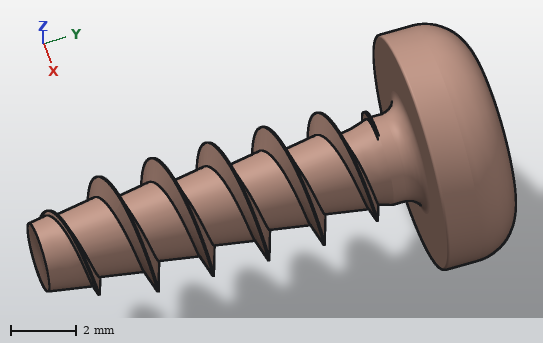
import cadquery as cq
import math


overall_length = 14.59
head_height = 2.6
shank_length = overall_length - head_height

head_radius = 3.75
head_dome_radius = 1.5
head_rim_radius = 0.08

neck_radius = 1.39
neck_fillet_radius = 0.57
shoulder_depth = 0.98
runout_depth = 1.95

pitch = 1.787
core_radius = 1.09
root_taper = 0.158
root_top_radius = 1.35
buried_radius = 0.8
turn_fraction = 0.98

crest_radius = 2.0
crest_width = 0.04
head_flank_slope = 0.29
tip_flank_slope = 0.33
thread_start_z = -11.97
thread_start_angle = 90.0
tip_crest_radius = 1.11
head_crest_radius = 1.54
lead_in_turns = 1.5
full_turns = 3.75
run_out_turns = 1.0
thread_turns = lead_in_turns + full_turns + run_out_turns
extra_root_turns = 0.5

ledge_width = 0.23
ledge_thickness = 0.06

hollow_radius = 1.0
hollow_depth = 0.06


def helix_edge(start, end, first_turn, turns):
    """Right-handed helix between two (radius, height offset) points on the thread's path."""
    start_radius, start_offset = start
    end_radius, end_offset = end
    rise = turns * pitch + end_offset - start_offset
    base = cq.Vector(0, 0, thread_start_z + first_turn * pitch + start_offset)
    if end_radius == start_radius:
        wire = cq.Wire.makeHelix(rise / turns, rise, start_radius)
    else:
        slope = math.atan2(end_radius - start_radius, rise)
        length = rise / math.cos(slope)
        wire = cq.Wire.makeHelix(length / turns, length, start_radius, angle=math.degrees(slope))
    return wire.Edges()[0].translate(base)


def helical_body(start_section, end_section, first_turn, turns):
    """Solid climbing a helix while its (radius, height offset) section changes evenly."""
    edges = [helix_edge(a, b, first_turn, turns) for a, b in zip(start_section, end_section)]
    faces = [cq.Face.makeRuledSurface(a, b) for a, b in zip(edges, edges[1:] + edges[:1])]
    for end_point in (cq.Edge.startPoint, cq.Edge.endPoint):
        corners = [end_point(edge) for edge in edges]
        faces.append(cq.Face.makeFromWires(cq.Wire.makePolygon(corners, close=True)))
    body = cq.Solid.makeSolid(cq.Shell.makeShell(faces)).fix()
    turn_angle = thread_start_angle + 360 * first_turn
    return cq.Workplane(body).rotate((0, 0, 0), (0, 0, 1), turn_angle)


def tooth_section(outer_radius):
    half_crest = crest_width / 2
    depth = outer_radius - buried_radius
    return [
        (buried_radius, half_crest + depth * head_flank_slope),
        (outer_radius, half_crest),
        (outer_radius, -half_crest),
        (buried_radius, -half_crest - depth * tip_flank_slope),
    ]


def tooth(start_radius, end_radius, first_turn, turns):
    """Stretch of V-shaped thread whose crest runs from start_radius to end_radius."""
    return helical_body(tooth_section(start_radius), tooth_section(end_radius), first_turn, turns)


def revolve_profile(outline):
    return outline.close().revolve(360, (0, 0, 0), (0, 1, 0))


def make_head_and_neck():
    head = cq.Workplane("XY").circle(head_radius).extrude(head_height)
    head = head.faces(">Z").edges().fillet(head_dome_radius)
    head = head.faces("<Z").edges().fillet(head_rim_radius)
    neck = revolve_profile(
        cq.Workplane("XZ")
        .moveTo(0, neck_fillet_radius)
        .lineTo(neck_radius + neck_fillet_radius, neck_fillet_radius)
        .lineTo(neck_radius + neck_fillet_radius, 0)
        .radiusArc((neck_radius, -neck_fillet_radius), -neck_fillet_radius)
        .lineTo(neck_radius, -shoulder_depth)
        .lineTo(core_radius, -runout_depth)
        .lineTo(0, -runout_depth)
    )
    return head.union(neck)


def make_core():
    core = cq.Workplane("XY").circle(core_radius).extrude(-shank_length)
    span = pitch * turn_fraction
    section = [
        (buried_radius, 0),
        (root_top_radius, 0),
        (root_top_radius - root_taper * span, -span),
        (buried_radius, -span),
    ]
    core = core.union(helical_body(section, section, 0, thread_turns + extra_root_turns))
    envelope = revolve_profile(
        cq.Workplane("XZ")
        .moveTo(0, -shank_length)
        .lineTo(core_radius, -shank_length)
        .lineTo(core_radius + root_taper * (shank_length - shoulder_depth), -shoulder_depth)
        .lineTo(0, -shoulder_depth)
    )
    return core.intersect(envelope)


def make_thread():
    lead_in = tooth(tip_crest_radius, crest_radius, 0, lead_in_turns)
    full = tooth(crest_radius, crest_radius, lead_in_turns, full_turns)
    run_out = tooth(crest_radius, head_crest_radius, lead_in_turns + full_turns, run_out_turns)
    return [lead_in, full, run_out]


def make_run_out_ledge():
    """Thin disc of the neck's size set off-centre, so only a crescent stands out."""
    disc = cq.Workplane("XY", origin=(-ledge_width, 0, -shoulder_depth))
    return disc.circle(neck_radius).extrude(-ledge_thickness)


def make_tip_hollow():
    return revolve_profile(
        cq.Workplane("XZ")
        .moveTo(0, -shank_length)
        .lineTo(hollow_radius, -shank_length)
        .lineTo(0, hollow_depth - shank_length)
    )


def make_trim_envelope():
    """Space between the shoulder and the tip in which the thread may stand."""
    envelope = cq.Workplane("XY", origin=(0, 0, -shank_length)).circle(head_radius)
    return envelope.extrude(shank_length - shoulder_depth)


trim_envelope = make_trim_envelope()
screw = make_head_and_neck().union(make_core())
for thread_part in make_thread():
    screw = screw.union(thread_part.intersect(trim_envelope))
screw = screw.union(make_run_out_ledge())
screw = screw.cut(make_tip_hollow())

result = screw.rotate((0, 0, 0), (1, 0, 0), -90).solids()